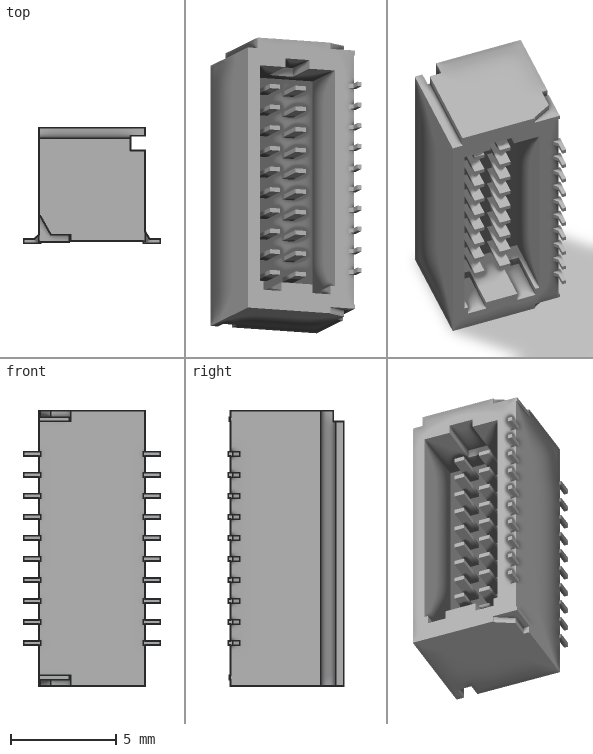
import cadquery as cq


height = 13.1
width = 5.06
back_y = 5.5
front_y = 0.1
half_width = width / 2
half_height = height / 2
mating_x = -half_width

top_step_height = 0.51
top_step_depth = 0.5
rear_groove_depth = 0.7
rear_groove_low_y = 4.41
rear_groove_high_y = 5.11

cavity_depth = 3.0
cavity_low_y = 1.09
cavity_high_y = 4.9
cavity_height = 10.43

keyway_depth = 2.2
keyway_reach = 0.42
top_keyway_span = (2.38, 3.59)
bottom_keyway_spans = [(1.3, 2.21), (3.8, 4.72)]

contact_count = 10
contact_row_span = 9.0
pitch = contact_row_span / (contact_count - 1)
contact_thickness = 0.21
contact_setback = 1.26
contact_spans = [(2.07, 2.62), (3.4, 3.9)]

lead_span = 6.5
foot_thickness = 0.21
foot_overlap = 0.09
bend_run = 0.21
front_lead_exit_y = 0.4
rear_lead_exit_y = 0.55

recess_depth = 0.3
recess_length = 1.5
recess_floor_y = 0.39
recess_high_y = 1.31
recess_flat = 0.07
recess_slope_run = 0.51
plate_thickness = 0.21
plate_front_y = 0.05
plate_end_gap = 0.05


def block(x_span, y_span, z_span):
    """Box filling the given (low, high) ranges."""
    sizes = [high - low for low, high in (x_span, y_span, z_span)]
    corner = (x_span[0], y_span[0], z_span[0])
    return cq.Workplane("XY").box(*sizes, centered=False).translate(corner)


def make_housing():
    x_range = (-half_width, half_width)
    z_range = (-half_height, half_height)
    housing = block(x_range, (front_y, back_y), z_range)
    step_y = (back_y - top_step_depth, back_y)
    housing = housing.cut(block(x_range, step_y, (half_height - top_step_height, half_height)))
    groove_x = (half_width - rear_groove_depth, half_width)
    return housing.cut(block(groove_x, (rear_groove_low_y, rear_groove_high_y), z_range))


def make_cavity():
    half_cavity = cavity_height / 2
    cavity_x = (mating_x, mating_x + cavity_depth)
    keyway_x = (mating_x, mating_x + keyway_depth)
    cavity = block(cavity_x, (cavity_low_y, cavity_high_y), (-half_cavity, half_cavity))
    cavity = cavity.union(block(keyway_x, top_keyway_span, (0, half_cavity + keyway_reach)))
    for span in bottom_keyway_spans:
        cavity = cavity.union(block(keyway_x, span, (-half_cavity - keyway_reach, 0)))
    return cavity


def make_end_recess():
    """Corner recess in the upper end, with the slot beside the hold-down plate."""
    slope_start_x = mating_x + recess_flat
    recess_end_x = mating_x + recess_length
    recess = (
        cq.Workplane("XY")
        .workplane(offset=half_height - recess_depth)
        .polyline([
            (mating_x, front_y),
            (recess_end_x, front_y),
            (recess_end_x, recess_floor_y),
            (slope_start_x + recess_slope_run, recess_floor_y),
            (slope_start_x, recess_high_y),
            (mating_x, recess_high_y),
        ])
        .close()
        .extrude(recess_depth)
    )
    slot_bottom_z = half_height - recess_depth - plate_thickness
    slot = block(
        (recess_end_x - plate_end_gap, recess_end_x),
        (front_y, recess_floor_y),
        (slot_bottom_z, half_height),
    )
    return recess.union(slot)


def make_plate_edge():
    """Edge of the upper hold-down plate, standing proud of the housing toward the board."""
    plate_top_z = half_height - recess_depth
    return block(
        (mating_x, mating_x + recess_length - plate_end_gap),
        (plate_front_y, recess_floor_y),
        (plate_top_z - plate_thickness, plate_top_z),
    )


def make_lead(side, exit_y, z):
    """Gull-wing lead on the -X (side = -1) or +X (side = 1) face."""
    inner_x = half_width - foot_overlap
    profile = [
        (inner_x, 0),
        (lead_span / 2, 0),
        (lead_span / 2, foot_thickness),
        (half_width + bend_run, foot_thickness),
        (half_width, exit_y),
        (inner_x, exit_y),
    ]
    return (
        cq.Workplane("XY")
        .workplane(offset=z - contact_thickness / 2)
        .polyline([(side * x, y) for x, y in profile])
        .close()
        .extrude(contact_thickness)
    )


def make_contacts(z):
    """Two contact blades in the cavity and their solder leads at one height."""
    z_range = (z - contact_thickness / 2, z + contact_thickness / 2)
    blade_x = (mating_x + contact_setback, mating_x + cavity_depth)
    contacts = make_lead(-1, front_lead_exit_y, z).union(make_lead(1, rear_lead_exit_y, z))
    for span in contact_spans:
        contacts = contacts.union(block(blade_x, span, z_range))
    return contacts


recess = make_end_recess()
plate_edge = make_plate_edge()

result = make_housing().cut(make_cavity())
result = result.cut(recess).cut(recess.mirror("XY"))
result = result.union(plate_edge).union(plate_edge.mirror("XY"))
for row in range(contact_count):
    row_z = row * pitch - contact_row_span / 2
    result = result.union(make_contacts(row_z))